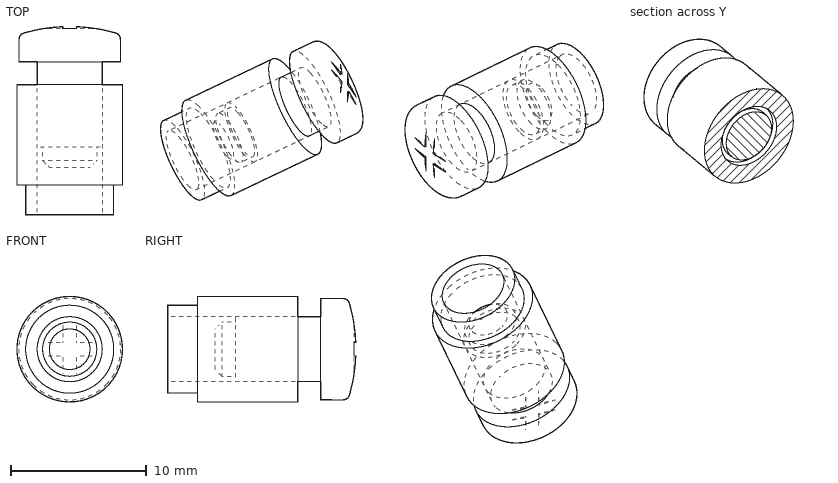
import cadquery as cq
import math


sleeve_diameter = 7.8
nose_diameter = 6.5
bore_diameter = 4.8
nose_length = 2.19
sleeve_length = 9.6

head_diameter = 7.5
head_underside_y = 11.28
total_length = 13.88
dome_radius = 12.0
head_fillet = 0.5
slot_width = 1.0
slot_depth = 0.12
shank_diameter = bore_diameter
shank_end_y = 5.0
tip_diameter = 4.0
tip_length = 1.5
tip_chamfer = 0.5


def dome_drop(radius):
    """Fall of the domed head below its apex at a given radius."""
    return dome_radius - math.sqrt(dome_radius**2 - radius**2)


apex_y = total_length + dome_drop(slot_width / math.sqrt(2))


def cylinder(diameter, start_y, end_y):
    """Cylinder on the Y axis."""
    plane = cq.Plane(origin=(0, start_y, 0), xDir=(1, 0, 0), normal=(0, 1, 0))
    return cq.Workplane(plane).circle(diameter / 2).extrude(end_y - start_y)


def make_sleeve():
    """Stepped sleeve with a through bore."""
    nose = cylinder(nose_diameter, 0, nose_length)
    barrel = cylinder(sleeve_diameter, nose_length, sleeve_length)
    return nose.union(barrel).cut(cylinder(bore_diameter, 0, sleeve_length))


def make_head():
    """Domed head with a rounded rim and a shallow cross recess."""
    head_radius = head_diameter / 2
    arc_mid_radius = head_radius / 2
    head = (
        cq.Workplane("XY")
        .moveTo(0, head_underside_y)
        .lineTo(head_radius, head_underside_y)
        .lineTo(head_radius, apex_y - dome_drop(head_radius))
        .threePointArc((arc_mid_radius, apex_y - dome_drop(arc_mid_radius)), (0, apex_y))
        .close()
        .revolve(360, (0, 0, 0), (0, 1, 0))
    )
    dome = head.faces("not(%PLANE or %CYLINDER)")
    head = dome.edges("<Y").fillet(head_fillet)

    floor_y = total_length - slot_depth
    slot = (
        cq.Workplane("XY")
        .box(head_diameter, apex_y - floor_y, slot_width)
        .translate((0, (apex_y + floor_y) / 2, 0))
    )
    for angle in (0, 90):
        head = head.cut(slot.rotate((0, 0, 0), (0, 1, 0), angle))
    return head


def make_screw():
    """Head, plain shank that fills the bore, and a narrower chamfered tip."""
    shank = cylinder(shank_diameter, shank_end_y, head_underside_y)
    tip = cylinder(tip_diameter, shank_end_y - tip_length, shank_end_y)
    tip = tip.faces("<Y").chamfer(tip_chamfer)
    return make_head().union(shank).union(tip)


sleeve = make_sleeve()
screw = make_screw()
result = cq.Compound.makeCompound([sleeve.solids().val(), screw.solids().val()])